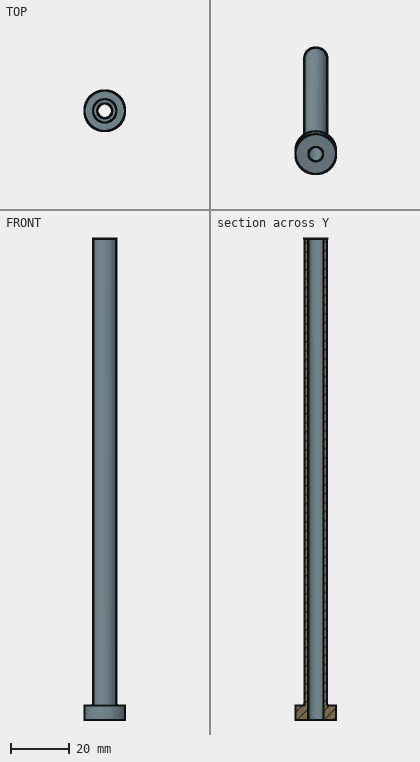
import cadquery as cq

overall_length = 165.0
head_diameter = 14.0
head_height = 5.0
shank_diameter = 8.0
bore_diameter = 5.0
neck_fillet = 0.5


def make_sleeve():
    """Flanged round body: head at the base, long shank above it."""
    head = cq.Workplane("XY").circle(head_diameter / 2).extrude(head_height)
    shank = cq.Workplane("XY").circle(shank_diameter / 2).extrude(overall_length)
    return head.union(shank)


def fillet_neck(body):
    """Round the inside corner where the shank meets the head."""
    neck_edge = cq.selectors.RadiusNthSelector(0)
    return body.faces("<Z[-2]").edges(neck_edge).fillet(neck_fillet)


def cut_bore(body):
    """Cut the bore along the full length."""
    bore = cq.Workplane("XY").circle(bore_diameter / 2).extrude(overall_length)
    return body.cut(bore)


result = cut_bore(fillet_neck(make_sleeve()))